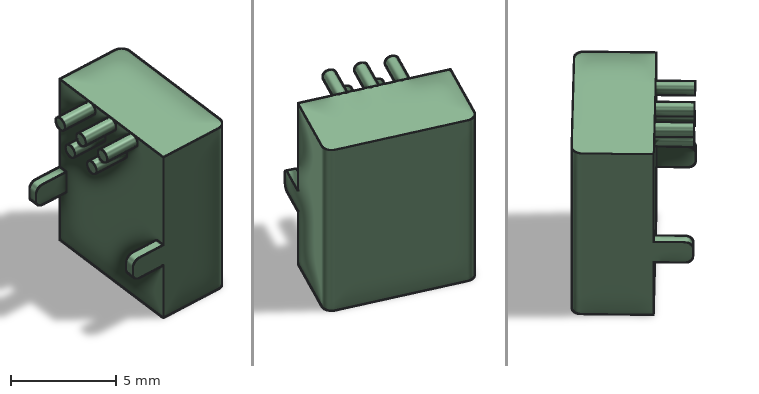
import cadquery as cq

width = 7.7
height = 9.85
overall_depth = 5.8
pin_length = 1.88
body_depth = overall_depth - pin_length
body_corner_radius = 0.5

pin_diameter = 0.7
upper_row_z = height - pin_diameter / 2
row_spacing = 1.2
lower_row_z = upper_row_z - row_spacing
pin_pitch = 0.8
left_pin_x = -1.55
upper_row_x = [left_pin_x, 0, 2 * pin_pitch]
lower_row_x = [-pin_pitch, pin_pitch]

tab_thickness = 0.5
tab_height = 1.25
tab_length = pin_length
tab_corner_radius = 0.4
tab_center_z = 3.85


def make_body():
    """Block with its two rear vertical edges rounded."""
    block = cq.Workplane("XY").box(width, body_depth, height, centered=(True, False, False))
    return block.edges("|Z and >Y").fillet(body_corner_radius)


def make_pin(x, z):
    """Round pin standing out of the mounting face toward -Y."""
    return cq.Workplane("XZ").center(x, z).circle(pin_diameter / 2).extrude(pin_length)


def make_tab(side):
    """Flat tab with a rounded tip, on the -X (side = -1) or +X (side = 1) edge."""
    tab = cq.Workplane("XY").box(tab_thickness, tab_length, tab_height)
    tab = tab.edges("|X and <Y").fillet(tab_corner_radius)
    center_x = side * (width - tab_thickness) / 2
    return tab.translate((center_x, -tab_length / 2, tab_center_z))


result = make_body()
for row_x, row_z in [(upper_row_x, upper_row_z), (lower_row_x, lower_row_z)]:
    for pin_x in row_x:
        result = result.union(make_pin(pin_x, row_z))
for side in (-1, 1):
    result = result.union(make_tab(side))